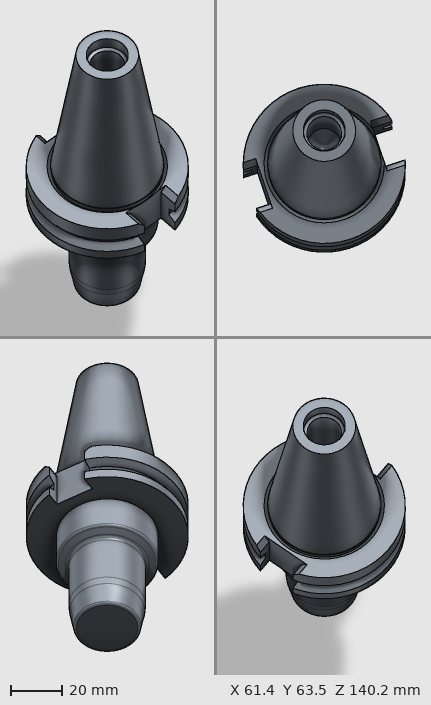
import cadquery as cq
import math

total_height = 140.2

nose_radius = 30.0 / 2
tip_blend_top = 13.0
tip_blend_radius = 19.6
tip_angle = math.radians(10)
tip_edge_fillet = 1.3

body_radius = 40.0 / 2
shoulder_top = 37.9
shoulder_slope = math.radians(20)
shoulder_outer_fillet = 1.3
shoulder_inner_fillet = 2.0

flange_radius = 63.5 / 2
flange_bottom = 53.0
flange_top = 71.4
groove_root_radius = 28.3
groove_lower_edge = 57.4
groove_root_bottom = 59.2
groove_root_top = 62.7
groove_upper_edge = 64.4

taper_bottom = 72.1
taper_base_radius = 44.5 / 2
taper_rate = 7 / 24
taper_top_radius = taper_base_radius - (total_height - taper_bottom) * taper_rate / 2
neck_radius = 43.9 / 2
relief_radius = 47.1 / 2
relief_bottom = flange_top - (relief_radius - neck_radius)

counterbore_radius = 16.4 / 2
counterbore_depth = 5.3
bore_radius = 13.5 / 2
bore_seat_drop = 0.4
bore_depth = 30.9
drill_point_half_angle = math.radians(59)

slot_width = 16.1
slot_floor_left = 24.8
slot_floor_right = 22.6
slot_chamfer = 2.4


def make_turned_body():
    """Revolve the outer outline about Z, then round the nose and shoulder edges."""
    blend_mid_radius = nose_radius - tip_blend_radius * (1 - math.cos(tip_angle / 2))
    blend_mid_z = tip_blend_top - tip_blend_radius * math.sin(tip_angle / 2)
    blend_end_radius = nose_radius - tip_blend_radius * (1 - math.cos(tip_angle))
    blend_end_z = tip_blend_top - tip_blend_radius * math.sin(tip_angle)
    tip_radius = blend_end_radius - blend_end_z * math.tan(tip_angle)
    shoulder_bottom = shoulder_top - (body_radius - nose_radius) * math.tan(shoulder_slope)

    outline = (
        cq.Workplane("XZ")
        .lineTo(tip_radius, 0)
        .lineTo(blend_end_radius, blend_end_z)
        .threePointArc((blend_mid_radius, blend_mid_z), (nose_radius, tip_blend_top))
        .lineTo(nose_radius, shoulder_bottom)
        .lineTo(body_radius, shoulder_top)
        .lineTo(body_radius, flange_bottom)
        .lineTo(flange_radius, flange_bottom)
        .lineTo(flange_radius, groove_lower_edge)
        .lineTo(groove_root_radius, groove_root_bottom)
        .lineTo(groove_root_radius, groove_root_top)
        .lineTo(flange_radius, groove_upper_edge)
        .lineTo(flange_radius, flange_top)
        .lineTo(relief_radius, flange_top)
        .lineTo(neck_radius, relief_bottom)
        .lineTo(neck_radius, taper_bottom)
        .lineTo(taper_base_radius, taper_bottom)
        .lineTo(taper_top_radius, total_height)
        .lineTo(0, total_height)
        .close()
    )
    body = outline.revolve(360, (0, 0, 0), (0, 1, 0))
    body = round_edge_at(body, 0, tip_edge_fillet)
    body = round_edge_at(body, shoulder_bottom, shoulder_inner_fillet)
    return round_edge_at(body, shoulder_top, shoulder_outer_fillet)


def round_edge_at(body, height, radius):
    """Fillet the circular edge lying at the given height."""
    reach = 2 * flange_radius
    half_band = 0.07
    band = cq.selectors.BoxSelector(
        (-reach, -reach, height - half_band), (reach, reach, height + half_band), boundingbox=True
    )
    return body.edges(band).fillet(radius)


def make_bore():
    """Stepped bore with a conical seat and a drill point."""
    seat_top = total_height - counterbore_depth
    bore_bottom = total_height - bore_depth
    return (
        cq.Workplane("XZ")
        .moveTo(0, total_height)
        .lineTo(counterbore_radius, total_height)
        .lineTo(counterbore_radius, seat_top)
        .lineTo(bore_radius, seat_top - bore_seat_drop)
        .lineTo(bore_radius, bore_bottom)
        .lineTo(0, bore_bottom - bore_radius / math.tan(drill_point_half_angle))
        .close()
        .revolve(360, (0, 0, 0), (0, 1, 0))
    )


def make_drive_slot(floor_distance, side):
    """Slot with chamfered top edges, running outward along X (side is +1 or -1)."""
    half_width = slot_width / 2
    half_mouth = half_width + slot_chamfer
    return (
        cq.Workplane("YZ", origin=(side * floor_distance, 0, 0))
        .polyline([
            (-half_width, flange_bottom),
            (half_width, flange_bottom),
            (half_width, flange_top - slot_chamfer),
            (half_mouth, flange_top),
            (-half_mouth, flange_top),
            (-half_width, flange_top - slot_chamfer),
        ])
        .close()
        .extrude(side * flange_radius)
    )


result = make_turned_body().cut(make_bore())
for floor_distance, side in ((slot_floor_left, -1), (slot_floor_right, 1)):
    result = result.cut(make_drive_slot(floor_distance, side))